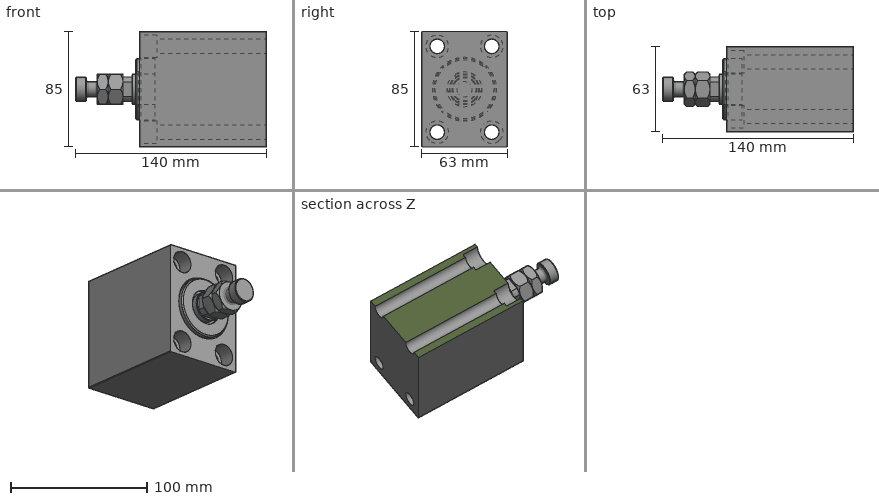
import cadquery as cq
import math

OVERALL_LENGTH = 140.0

REACH = 47.0
BLOCK_LENGTH = OVERALL_LENGTH - REACH
BLOCK_WIDTH = 63.0
BLOCK_HEIGHT = 85.0
EDGE_CHAMFER = 0.5
BOLT_SPACING_Y = 40.0
BOLT_SPACING_Z = 63.0
BOLT_HOLE_DIAMETER = 10.5
COUNTERBORE_DIAMETER = 16.5
COUNTERBORE_DEPTH = 12.6

GLAND_RADIUS = 22.5
GLAND_PROUD = 3.0
GLAND_DEPTH = 11.2
GLAND_CHAMFER = 1.0
BORE_MOUTH_CHAMFER = 1.0
WIPER_RECESS_RADIUS = 12.9
WIPER_RECESS_DEPTH = 2.0

ROD_RADIUS = 11.0
ROD_SHOULDER = 5.7
ROD_CHAMFER = 0.5
SQUARE_ACROSS_FLATS = 18.0
SQUARE_CORNER_RADIUS = ROD_RADIUS - ROD_CHAMFER

HEX_ACROSS_FLATS = 22.1
HEX_END_RADIUS = 10.9
LONG_HEX_START = 12.2
HEX_JOINT = 23.1
SHORT_HEX_END = 31.2
HEAD_LENGTH = 8.0
HEAD_RADIUS = 9.0
HEAD_CHAMFER = 0.5
NECK_RADIUS = 5.6
NECK_FILLET = 1.0


def along_x(x):
    """Workplane at the given x, facing +X."""
    return cq.Workplane("YZ", origin=(x, 0, 0))


def cylinder(x_start, x_end, radius):
    return along_x(x_start).circle(radius).extrude(x_end - x_start)


def make_block():
    """Block with counterbored bolt holes and a blind bore, chamfered at its mouth, for the gland."""
    block = along_x(0).rect(BLOCK_WIDTH, BLOCK_HEIGHT).extrude(BLOCK_LENGTH)
    block = block.edges("|X").chamfer(EDGE_CHAMFER)

    bolt_centres = along_x(0).rect(BOLT_SPACING_Y, BOLT_SPACING_Z, forConstruction=True).vertices()
    through_holes = bolt_centres.circle(BOLT_HOLE_DIAMETER / 2).extrude(BLOCK_LENGTH)
    counterbores = bolt_centres.circle(COUNTERBORE_DIAMETER / 2).extrude(COUNTERBORE_DEPTH)

    gland_bore = cylinder(0, GLAND_DEPTH, GLAND_RADIUS)
    bore_mouth = cq.Solid.makeCone(
        GLAND_RADIUS + BORE_MOUTH_CHAMFER,
        GLAND_RADIUS,
        BORE_MOUTH_CHAMFER,
        pnt=cq.Vector(0, 0, 0),
        dir=cq.Vector(1, 0, 0),
    )
    return block.cut(through_holes).cut(counterbores).cut(gland_bore).cut(bore_mouth)


def make_gland():
    """Guide ring around the rod, with a shallow recess next to the rod."""
    gland = cylinder(-GLAND_PROUD, GLAND_DEPTH, GLAND_RADIUS)
    gland = gland.faces("<X").chamfer(GLAND_CHAMFER)
    rod_bore = cylinder(-GLAND_PROUD, GLAND_DEPTH, ROD_RADIUS)
    recess = cylinder(-GLAND_PROUD, -GLAND_PROUD + WIPER_RECESS_DEPTH, WIPER_RECESS_RADIUS)
    return gland.cut(rod_bore).cut(recess)


def make_rod():
    """Round rod that ends in a square with rounded corners."""
    rod = cylinder(-ROD_SHOULDER, GLAND_DEPTH, ROD_RADIUS)
    rod = rod.faces("<X").chamfer(ROD_CHAMFER)
    square_length = LONG_HEX_START - ROD_SHOULDER
    square = along_x(-LONG_HEX_START).rect(SQUARE_ACROSS_FLATS, SQUARE_ACROSS_FLATS).extrude(square_length)
    round_stock = cylinder(-LONG_HEX_START, -ROD_SHOULDER, SQUARE_CORNER_RADIUS)
    return rod.union(square.intersect(round_stock))


def make_hexagon(x_start, x_end):
    """Hexagon with corners toward +Y and -Y, and its corners chamfered at 45 degrees at both ends."""
    half_corner_angle = math.radians(30)
    corner_radius = HEX_ACROSS_FLATS / 2 / math.cos(half_corner_angle)
    hexagon = along_x(x_start).polygon(6, 2 * corner_radius).extrude(x_end - x_start)
    envelope = cylinder(x_start, x_end, corner_radius)
    envelope = envelope.faces("<X or >X").chamfer(corner_radius - HEX_END_RADIUS)
    return hexagon.intersect(envelope)


def make_coupling():
    """Round head and filleted neck carried by a short and a long hexagon, end to end."""
    head = cylinder(-REACH, -REACH + HEAD_LENGTH, HEAD_RADIUS)
    head = head.faces("<X or >X").chamfer(HEAD_CHAMFER)
    long_hex = make_hexagon(-HEX_JOINT, -LONG_HEX_START)
    short_hex = make_hexagon(-SHORT_HEX_END, -HEX_JOINT)

    neck_start = -REACH + HEAD_LENGTH
    neck_end = -SHORT_HEX_END
    wide_radius = NECK_RADIUS + NECK_FILLET
    neck = (
        cq.Workplane("XY")
        .moveTo(neck_start, 0)
        .lineTo(neck_start, wide_radius)
        .radiusArc((neck_start + NECK_FILLET, NECK_RADIUS), -NECK_FILLET)
        .lineTo(neck_end - NECK_FILLET, NECK_RADIUS)
        .radiusArc((neck_end, wide_radius), -NECK_FILLET)
        .lineTo(neck_end, 0)
        .close()
        .revolve(360, (0, 0, 0), (1, 0, 0))
    )
    return head.union(neck).union(short_hex).union(long_hex)


block = make_block()
gland = make_gland()
rod = make_rod()
coupling = make_coupling()

result = cq.Compound.makeCompound([block.val(), gland.val(), rod.val(), coupling.val()])